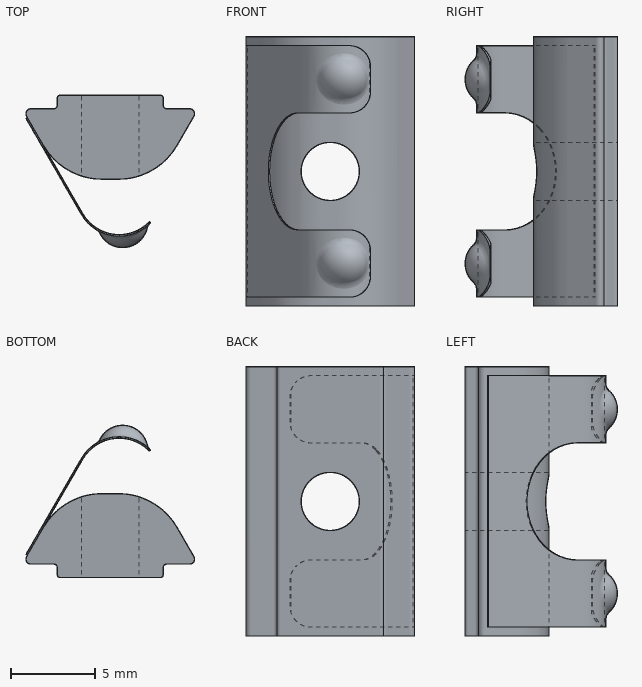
import cadquery as cq
import math

length = 16.0
half_width = 5.0
nut_depth = 5.0
neck_half_width = 3.15
neck_height = 0.8
neck_corner_radius = 0.2
neck_root_radius = 0.2
shoulder_radius = 0.3
belly_radius = 4.0
bore_diameter = 3.44

flank_angle = math.radians(60)
normal_x = math.sin(flank_angle)
normal_y = -math.cos(flank_angle)
shoulder_x = half_width - shoulder_radius
shoulder_y = -neck_height - shoulder_radius
flank_distance = shoulder_x * normal_x + shoulder_y * normal_y + shoulder_radius
belly_y = -nut_depth + belly_radius
belly_x = (flank_distance - belly_radius - belly_y * normal_y) / normal_x

spring_height = 14.93
sheet = 0.1
spring_top_y = -1.35
bend_inner_radius = 2.5
bend_outer_radius = bend_inner_radius + sheet
bend_y = -5.78
bend_x = (bend_inner_radius - flank_distance + bend_y * normal_y) / normal_x
tip_angle = math.radians(46)
tip_corner_radius = 1.25
slot_radius = 3.47
slot_end_y = -3.63

dome_radius = 1.5
dome_x = 0.74
dome_y = -7.55
dome_blend_radius = 0.48
arm_middle_z = (spring_height / 2 + slot_radius) / 2


def around(center_x, center_y, radius, angle):
    """Point on a circle, with the angle measured from -Y towards +X."""
    return center_x + radius * math.sin(angle), center_y - radius * math.cos(angle)


def flank_x(y):
    """X of the left flank at a given Y."""
    return -(flank_distance - y * normal_y) / normal_x


def make_nut():
    shoulder_end = around(shoulder_x, shoulder_y, shoulder_radius, flank_angle)
    belly_start = around(belly_x, belly_y, belly_radius, flank_angle)
    belly_middle = around(belly_x, belly_y, belly_radius, flank_angle / 2)
    half = (
        cq.Workplane("XY")
        .workplane(offset=-length / 2)
        .moveTo(0, 0)
        .lineTo(neck_half_width, 0)
        .lineTo(neck_half_width, -neck_height)
        .lineTo(shoulder_x, -neck_height)
        .tangentArcPoint(shoulder_end, relative=False)
        .lineTo(*belly_start)
        .threePointArc(belly_middle, (belly_x, -nut_depth))
        .lineTo(0, -nut_depth)
        .close()
        .extrude(length)
    )
    nut = half.union(half.mirror("YZ"))
    for x in (-neck_half_width, neck_half_width):
        nut = nut.edges(cq.selectors.NearestToPointSelector((x, 0, 0))).fillet(neck_corner_radius)
        nut = nut.edges(cq.selectors.NearestToPointSelector((x, -neck_height, 0))).fillet(neck_root_radius)
    bore = cq.Workplane("XZ").circle(bore_diameter / 2).extrude(nut_depth)
    return nut.cut(bore)


def make_strip():
    top_x = flank_x(spring_top_y)
    middle_angle = (tip_angle - flank_angle) / 2
    inner = [around(bend_x, bend_y, bend_inner_radius, a) for a in (-flank_angle, middle_angle, tip_angle)]
    outer = [around(bend_x, bend_y, bend_outer_radius, a) for a in (-flank_angle, middle_angle, tip_angle)]
    return (
        cq.Workplane("XY")
        .workplane(offset=-spring_height / 2)
        .moveTo(top_x, spring_top_y)
        .lineTo(*inner[0])
        .threePointArc(inner[1], inner[2])
        .lineTo(*outer[2])
        .threePointArc(outer[1], outer[0])
        .lineTo(top_x - sheet * normal_x, spring_top_y + sheet * normal_y)
        .close()
        .extrude(spring_height)
    )


def make_slot():
    """Round-ended slot cut square to the sheet and open at the tip of the spring."""
    run = spring_height
    depth = 2 * bend_outer_radius
    sheet_plane = cq.Plane(
        origin=(flank_x(slot_end_y), slot_end_y, 0),
        xDir=(-normal_y, -normal_x, 0),
        normal=(-normal_x, normal_y, 0),
    )
    return (
        cq.Workplane(sheet_plane)
        .moveTo(slot_radius, slot_radius)
        .threePointArc((0, 0), (slot_radius, -slot_radius))
        .lineTo(run, -slot_radius)
        .lineTo(run, slot_radius)
        .close()
        .extrude(depth, both=True)
    )


def make_tip_trim(z):
    """Waste around the rounded end of one arm, seen along Y."""
    tip_x, tip_y = around(bend_x, bend_y, bend_outer_radius, tip_angle)
    arm_width = spring_height / 2 - slot_radius
    end_block = cq.Workplane("XY").box(2 * tip_corner_radius, 2 * bend_outer_radius, arm_width)
    rounded_block = end_block.edges("|Y and >X").fillet(tip_corner_radius)
    return end_block.cut(rounded_block).translate((tip_x - tip_corner_radius, tip_y, z))


def make_dome(z):
    """Part of a sphere that lies outside the inner face of the bend."""
    ball = cq.Workplane("XY").sphere(dome_radius).translate((dome_x, dome_y, z))
    bend_core = (
        cq.Workplane("XY")
        .center(bend_x, bend_y)
        .circle(bend_inner_radius + sheet / 2)
        .extrude(spring_height, both=True)
    )
    return ball.cut(bend_core)


def make_spring():
    spring = make_strip().cut(make_slot())
    for z in (-arm_middle_z, arm_middle_z):
        spring = spring.cut(make_tip_trim(z))
    for z in (-arm_middle_z, arm_middle_z):
        spring = spring.union(make_dome(z))
        dome_root = cq.selectors.BoxSelector(
            (dome_x - dome_radius, bend_y - bend_outer_radius - dome_radius, z - dome_radius),
            (dome_x + dome_radius, bend_y, z + dome_radius),
        )
        spring = spring.edges(dome_root).edges("%BSPLINE").fillet(dome_blend_radius)
    return spring


nut = make_nut()
spring = make_spring()
result = cq.Compound.makeCompound([nut.solids().val(), spring.solids().val()])